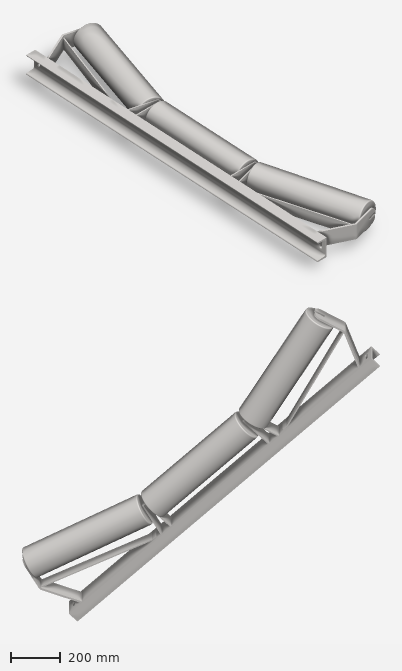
import cadquery as cq
import math


BEAM_LENGTH = 1695.0
BEAM_HEIGHT = 100.0
FLANGE_WIDTH = 50.0
WEB_THICKNESS = 7.0
FLANGE_TIP_THICKNESS = 7.0
FLANGE_ROOT_THICKNESS = 10.0
ROOT_RADIUS = 7.0
TIP_RADIUS = 5.0
MOUNT_SLOT_WIDTH = 15.0
MOUNT_SLOT_HEIGHT = 36.0
MOUNT_SLOT_OFFSET = 820.0

ROLLER_DIAMETER = 133.0
ROLLER_LENGTH = 530.0
ROLLER_RIM_RADIUS = 5.0
AXLE_DIAMETER = 20.0
AXLE_FLAT_WIDTH = 14.0
AXLE_OVERHANG = 12.0
TROUGH_ANGLE = 15.0
TILT_ANGLE = 2.0
CENTRE_ROLLER_Y = 118.0
CENTRE_ROLLER_Z = -19.0
WING_INNER_X = 301.0
WING_INNER_Y = 122.0

SUPPORT_HEIGHT = 75.0
OUTER_THICKNESS = 9.0
OVERALL_WIDTH = 1712.0
OUTER_BEND_Y = 157.0
OUTER_FOOT_X = 784.0
OUTER_BEND_RADIUS = 17.0
OUTER_ARM_LENGTH = 142.0
OUTER_TIP_RADIUS = 27.0
INNER_THICKNESS = 5.0
INNER_DROP = 5.0
INNER_TOP_Y = 150.0
INNER_CENTRE_FACE_X = 272.0
INNER_WING_FOOT_X = 330.0
BRACE_HEIGHT = 55.0
BRACE_THICKNESS = 5.0
BRACE_FOOT_START_X = 356.0
BRACE_FOOT_END_X = 378.0
BRACE_END_Y = 155.0
FOOT_TRIM = 17.0

AXLE_LENGTH = ROLLER_LENGTH + 2 * AXLE_OVERHANG
TROUGH = math.radians(TROUGH_ANGLE)

LOWER_LEG_LEAN = math.atan2(OVERALL_WIDTH / 2 - OUTER_FOOT_X, OUTER_BEND_Y)
HALF_BEND = (LOWER_LEG_LEAN + TROUGH) / 2
BISECTOR_TILT = (LOWER_LEG_LEAN - TROUGH) / 2
CORNER_OVERREACH = OUTER_BEND_RADIUS * (math.cos(BISECTOR_TILT) / math.cos(HALF_BEND) - 1)
OUTER_BEND = (OVERALL_WIDTH / 2 + CORNER_OVERREACH, OUTER_BEND_Y)


def place_centre(body):
    """Move a body built along +X from the origin to the centre roller's seat."""
    return body.translate((-ROLLER_LENGTH / 2, CENTRE_ROLLER_Y, CENTRE_ROLLER_Z))


def place_wing(body):
    """Move a body built along +X from the origin to the right-hand wing roller's seat."""
    tilted = body.rotate((0, 0, 0), (0, 1, 0), -TILT_ANGLE)
    troughed = tilted.rotate((0, 0, 0), (0, 0, 1), TROUGH_ANGLE)
    return troughed.translate((WING_INNER_X, WING_INNER_Y, CENTRE_ROLLER_Z))


def edges_at(y, z):
    """Selector for the beam's two lengthwise edges at (y, z) and (y, -z)."""
    upper = cq.selectors.NearestToPointSelector((0, y, z))
    lower = cq.selectors.NearestToPointSelector((0, y, -z))
    return cq.selectors.SumSelector(upper, lower)


def make_beam():
    half_height = BEAM_HEIGHT / 2
    tip = half_height - FLANGE_TIP_THICKNESS
    root = half_height - FLANGE_ROOT_THICKNESS
    beam = (
        cq.Workplane("YZ")
        .polyline([
            (0, -half_height),
            (0, half_height),
            (-FLANGE_WIDTH, half_height),
            (-FLANGE_WIDTH, tip),
            (-WEB_THICKNESS, root),
            (-WEB_THICKNESS, -root),
            (-FLANGE_WIDTH, -tip),
            (-FLANGE_WIDTH, -half_height),
        ])
        .close()
        .extrude(BEAM_LENGTH / 2, both=True)
    )
    beam = beam.edges(edges_at(-WEB_THICKNESS, root)).fillet(ROOT_RADIUS)
    beam = beam.edges(edges_at(-FLANGE_WIDTH, tip)).fillet(TIP_RADIUS)
    slots = (
        cq.Workplane("XZ")
        .pushPoints([(-MOUNT_SLOT_OFFSET, 0), (MOUNT_SLOT_OFFSET, 0)])
        .slot2D(MOUNT_SLOT_HEIGHT, MOUNT_SLOT_WIDTH, 90)
        .extrude(FLANGE_WIDTH)
    )
    return beam.cut(slots)


def make_roller():
    """Shell from X = 0 to ROLLER_LENGTH with a flatted axle end at each side."""
    shell = (
        cq.Workplane("YZ")
        .circle(ROLLER_DIAMETER / 2)
        .extrude(ROLLER_LENGTH)
        .faces("<X or >X")
        .fillet(ROLLER_RIM_RADIUS)
    )
    axle = (
        cq.Workplane("YZ")
        .workplane(offset=-AXLE_OVERHANG)
        .circle(AXLE_DIAMETER / 2)
        .extrude(AXLE_LENGTH)
    )
    flats = cq.Workplane("XY").box(2 * AXLE_LENGTH, AXLE_DIAMETER, AXLE_FLAT_WIDTH)
    return shell.union(axle.intersect(flats))


def make_axle_slots():
    """Open-topped slot cutters around both axle ends of a roller built by make_roller."""
    depth = 2 * AXLE_OVERHANG
    cutter = cq.Workplane("XY").box(depth, ROLLER_DIAMETER, AXLE_FLAT_WIDTH, centered=(False, False, True))
    cutter = cutter.translate((0, -AXLE_DIAMETER / 2, 0))
    return cutter.translate((-depth, 0, 0)).union(cutter.translate((ROLLER_LENGTH, 0, 0)))


def offset_point(before, point, after, thickness):
    """Corner of a bent sheet's far face, on the left of the path before-point-after."""
    angle_in = math.atan2(point[1] - before[1], point[0] - before[0])
    angle_out = math.atan2(after[1] - point[1], after[0] - point[0])
    bisector = (angle_in + angle_out + math.pi) / 2
    miter = thickness / math.cos((angle_out - angle_in) / 2)
    return (point[0] + miter * math.cos(bisector), point[1] + miter * math.sin(bisector))


def bent_sheet(path, thickness, height):
    """Square-ended sheet on the left of an XY path, trimmed off flush with the beam's back face."""
    first, second = path[:2]
    ahead, last = path[-2:]
    lead_in = (2 * first[0] - second[0], 2 * first[1] - second[1])
    lead_out = (2 * last[0] - ahead[0], 2 * last[1] - ahead[1])
    full = [lead_in, *path, lead_out]
    far_face = [offset_point(*full[i:i + 3], thickness) for i in range(len(path))]
    sheet = (
        cq.Workplane("XY")
        .polyline(path + far_face[::-1])
        .close()
        .extrude(height / 2, both=True)
    )
    behind_face = cq.Workplane("XY").box(BEAM_LENGTH, BEAM_HEIGHT, BEAM_HEIGHT)
    return sheet.cut(behind_face.translate((0, -BEAM_HEIGHT / 2, 0)))


def point_on_line(start, end, y):
    """Point at height y on the line through two XY points."""
    share = (y - start[1]) / (end[1] - start[1])
    return (start[0] + share * (end[0] - start[0]), y)


def make_outer_bracket(slots):
    buried_foot = point_on_line(OUTER_BEND, (OUTER_FOOT_X, 0), -FOOT_TRIM)
    tip = (
        OUTER_BEND[0] - OUTER_ARM_LENGTH * math.sin(TROUGH),
        OUTER_BEND[1] + OUTER_ARM_LENGTH * math.cos(TROUGH),
    )
    bracket = bent_sheet([buried_foot, OUTER_BEND, tip], OUTER_THICKNESS, SUPPORT_HEIGHT)
    outer_bend = cq.selectors.NearestToPointSelector((*OUTER_BEND, 0))
    bracket = bracket.edges(outer_bend).fillet(OUTER_BEND_RADIUS)
    inner_side = (OUTER_BEND[0] - OUTER_THICKNESS, OUTER_BEND[1], 0)
    inner_bend = cq.selectors.NearestToPointSelector(inner_side)
    bracket = bracket.edges(inner_bend).fillet(OUTER_BEND_RADIUS - OUTER_THICKNESS)
    across_arm = cq.Vector(math.cos(TROUGH), math.sin(TROUGH), 0)
    tip_corners = cq.selectors.ParallelDirSelector(across_arm)
    return bracket.edges(tip_corners).fillet(OUTER_TIP_RADIUS).cut(slots)


def make_inner_bracket(slots):
    """Inverted U whose legs face the centre roller and the wing roller."""
    wing_top_x = INNER_WING_FOOT_X - INNER_TOP_Y * math.tan(TROUGH)
    wing_top = (wing_top_x, INNER_TOP_Y)
    buried_foot = point_on_line(wing_top, (INNER_WING_FOOT_X, 0), -FOOT_TRIM)
    path = [
        buried_foot,
        wing_top,
        (INNER_CENTRE_FACE_X, INNER_TOP_Y),
        (INNER_CENTRE_FACE_X, -FOOT_TRIM),
    ]
    return bent_sheet(path, INNER_THICKNESS, SUPPORT_HEIGHT).translate((0, 0, -INNER_DROP)).cut(slots)


def make_brace(outer_bracket):
    """Strut from the beam to the outer bracket's bend, with a flat foot on the beam."""
    path = [
        (BRACE_FOOT_START_X, 0),
        (BRACE_FOOT_END_X, 0),
        (OUTER_BEND[0] - OUTER_THICKNESS / 2, BRACE_END_Y),
    ]
    return bent_sheet(path, BRACE_THICKNESS, BRACE_HEIGHT).cut(outer_bracket)


beam = make_beam()
centre_roller = place_centre(make_roller())
wing_roller = place_wing(make_roller())
centre_slots = place_centre(make_axle_slots())
wing_slots = place_wing(make_axle_slots())
outer_bracket = make_outer_bracket(wing_slots)
inner_bracket = make_inner_bracket(wing_slots).cut(centre_slots)
brace = make_brace(outer_bracket)

bodies = [beam.val(), centre_roller.val()]
for right_body in (wing_roller, outer_bracket, inner_bracket, brace):
    bodies.append(right_body.val())
    bodies.append(right_body.mirror("YZ").val())

result = cq.Compound.makeCompound(bodies)